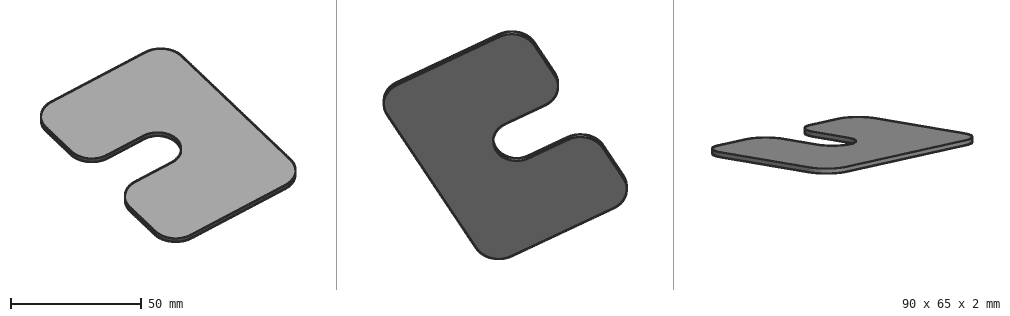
import cadquery as cq

length = 90.0
width = 65.0
thickness = 2.0
corner_radius = 10.0

slot_width = 18.0
slot_depth = 36.45

slot_radius = slot_width / 2
front_y = -width / 2
slot_arc_center_y = front_y + slot_depth - slot_radius

plate = cq.Workplane("XY").rect(length, width).extrude(thickness)
slot = (
    cq.Workplane("XY")
    .moveTo(-slot_radius, front_y)
    .lineTo(-slot_radius, slot_arc_center_y)
    .threePointArc((0, slot_arc_center_y + slot_radius), (slot_radius, slot_arc_center_y))
    .lineTo(slot_radius, front_y)
    .close()
    .extrude(thickness)
)
slotted_plate = plate.cut(slot)

outer_corners = "(<X or >X)"
slot_mouth_corners = "<Y"
result = slotted_plate.edges(f"|Z and ({outer_corners} or {slot_mouth_corners})").fillet(corner_radius)